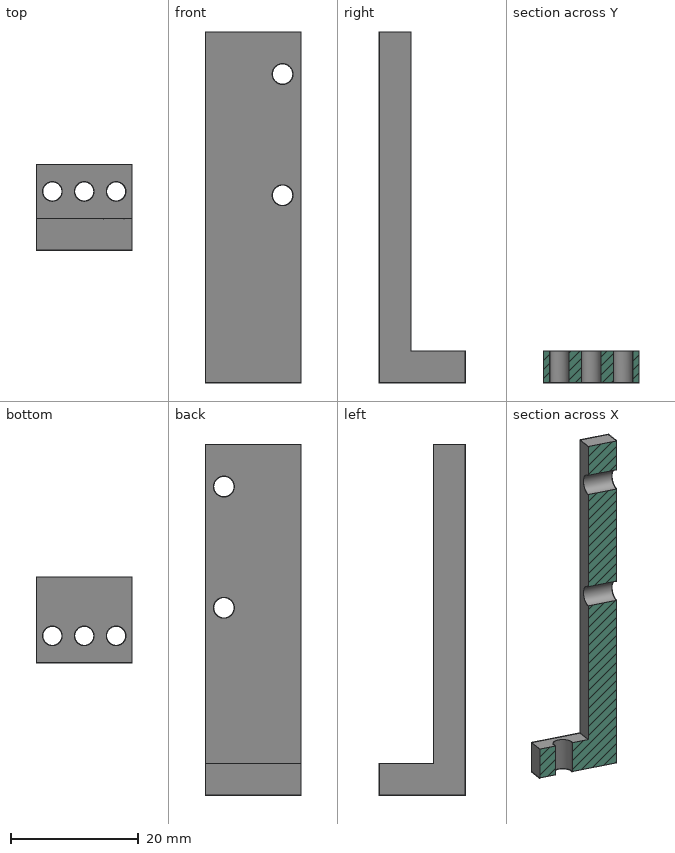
import cadquery as cq

width = 15.0
depth = 13.5
height = 55.0
thickness = 5.0

plate_hole_diameter = 3.2
plate_hole_side_offset = 2.9
plate_hole_top_offset = 6.6
plate_hole_spacing = 19.0

foot_hole_diameter = 3.0
foot_hole_count = 3
foot_hole_pitch = width / foot_hole_count
foot_hole_y = (thickness + depth) / 2


def bracket_body():
    """L profile with the upright along the -Y side, extruded across the width."""
    profile = [
        (0, 0),
        (depth, 0),
        (depth, thickness),
        (thickness, thickness),
        (thickness, height),
        (0, height),
    ]
    return cq.Workplane("YZ").polyline(profile).close().extrude(width)


def plate_holes():
    """Two cylinders crossing the upright plate, one above the other."""
    x = width - plate_hole_side_offset
    upper_z = height - plate_hole_top_offset
    centers = [(x, upper_z), (x, upper_z - plate_hole_spacing)]
    return cq.Workplane("XZ").pushPoints(centers).circle(plate_hole_diameter / 2).extrude(-thickness)


def foot_holes():
    """Evenly spaced row of cylinders crossing the foot."""
    centers = [((i + 0.5) * foot_hole_pitch, foot_hole_y) for i in range(foot_hole_count)]
    return cq.Workplane("XY").pushPoints(centers).circle(foot_hole_diameter / 2).extrude(thickness)


result = bracket_body().cut(plate_holes()).cut(foot_holes())